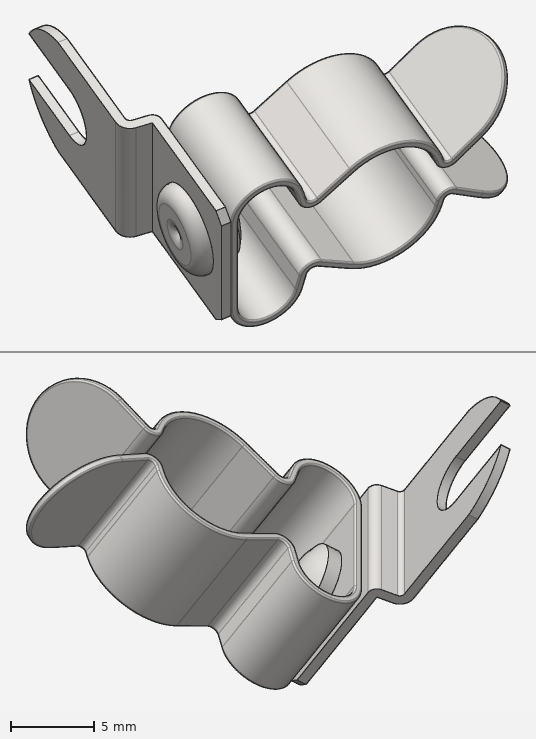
import cadquery as cq
import math


plate_thickness = 0.65
plate_height = 9.99
plate_offset = 1.9
web_lean = math.radians(7.3)
bend_inner_radius = 0.35
bend_center_x = -5.75
end_arc_center_x = -11.9
end_arc_radius = 5.1
slot_width = 4.2
slot_center_x = -11.48
corner_chamfer = 0.7

clip_width = 8.0
clip_height = 12.8
clip_length = 20.45
strip_thickness = 0.5
strip_edge_fillet = 0.11
tab_angle = math.radians(36.9)
base_lobe_radius = 2.5
grip_lobe_radius = 4.18
grip_lobe_center = (10.45, 1.1)
waist_bend_radius = 0.73
waist_center = (5.67, 3.54)
mouth_bend_radius = 0.6
mouth_center = (14.92, 1.88)

shank_radius = 2.5
shank_length = 1.45
dome_height = 0.87
head_radius = 2.98
head_height = 0.99
dimple_radius = 0.99

half_width = clip_width / 2
half_strip = strip_thickness / 2
half_plate = plate_height / 2


def polar(center, radius, angle):
    """Point at an angle and distance from a center."""
    return (center[0] + radius * math.cos(angle), center[1] + radius * math.sin(angle))


def bent_plate_section():
    """Bracket section in XY, swept through the two bends of the step."""
    bend_outer_radius = bend_inner_radius + plate_thickness
    lower_back = -plate_offset
    lower_front = lower_back - plate_thickness
    upper_front = -plate_thickness
    bend_center = (bend_center_x, lower_back + bend_inner_radius)
    bend_middle = -math.pi / 4

    front_web = polar(bend_center, bend_outer_radius, -web_lean)
    back_web = polar(bend_center, bend_inner_radius, -web_lean)
    corner_x = front_web[0] + (upper_front - front_web[1]) * math.tan(web_lean)
    corner = (corner_x, upper_front)
    corner_start = polar(corner, plate_thickness, math.pi - web_lean)
    corner_middle = polar(corner, plate_thickness, 3 * math.pi / 4)

    left = end_arc_center_x - end_arc_radius
    return (
        cq.Workplane("XY")
        .moveTo(left, lower_front)
        .lineTo(bend_center_x, lower_front)
        .threePointArc(polar(bend_center, bend_outer_radius, bend_middle), front_web)
        .lineTo(*corner)
        .lineTo(half_width, upper_front)
        .lineTo(half_width, 0)
        .lineTo(corner_x, 0)
        .threePointArc(corner_middle, corner_start)
        .lineTo(*back_web)
        .threePointArc(polar(bend_center, bend_inner_radius, bend_middle), (bend_center_x, lower_back))
        .lineTo(left, lower_back)
        .close()
    )


def plate_outline():
    """Bracket outline in XZ with its rounded, slotted end and two clipped corners."""
    half_slot = slot_width / 2
    shoulder_x = end_arc_center_x - math.sqrt(end_arc_radius**2 - half_plate**2)
    tip_x = end_arc_center_x - math.sqrt(end_arc_radius**2 - half_slot**2)
    arc_center = (end_arc_center_x, 0)
    middle_angle = (math.asin(half_plate / end_arc_radius) + math.asin(half_slot / end_arc_radius)) / 2
    upper_middle = polar(arc_center, end_arc_radius, math.pi - middle_angle)
    lower_middle = polar(arc_center, end_arc_radius, math.pi + middle_angle)
    return (
        cq.Workplane("XZ")
        .moveTo(shoulder_x, half_plate)
        .threePointArc(upper_middle, (tip_x, half_slot))
        .lineTo(slot_center_x, half_slot)
        .threePointArc((slot_center_x + half_slot, 0), (slot_center_x, -half_slot))
        .lineTo(tip_x, -half_slot)
        .threePointArc(lower_middle, (shoulder_x, -half_plate))
        .lineTo(half_width - corner_chamfer, -half_plate)
        .lineTo(half_width, corner_chamfer - half_plate)
        .lineTo(half_width, half_plate - corner_chamfer)
        .lineTo(half_width - corner_chamfer, half_plate)
        .close()
    )


def rivet_hole():
    """Cutter for the rivet hole through the bracket and the clip."""
    reach = plate_thickness + strip_thickness
    return cq.Workplane("XZ").circle(shank_radius).extrude(reach, both=True)


def make_bracket():
    depth = plate_offset + plate_thickness
    bent_strip = bent_plate_section().extrude(half_plate, both=True)
    blank = plate_outline().extrude(depth)
    return bent_strip.intersect(blank).cut(rivet_hole())


def tangent_heading(start, end):
    """Heading of the straight run that leaves one bend and enters the next.

    A bend is (center, middle radius, turn), where turn is +1 for
    counter-clockwise and -1 for clockwise.
    """
    start_center, start_radius, start_turn = start
    end_center, end_radius, end_turn = end
    dy = end_center[0] - start_center[0]
    dz = end_center[1] - start_center[1]
    sideways = end_turn * end_radius - start_turn * start_radius
    return math.atan2(dz, dy) - math.asin(sideways / math.hypot(dy, dz))


def clip_bends():
    """Bends of the upper half of the clip in YZ, from the base to the tab."""
    base_radius = base_lobe_radius - half_strip
    grip_radius = grip_lobe_radius - half_strip
    base_center = (base_lobe_radius, clip_height / 2 - base_lobe_radius)
    return [
        (base_center, base_radius, -1),
        (waist_center, waist_bend_radius, 1),
        (grip_lobe_center, grip_radius, -1),
        (mouth_center, mouth_bend_radius, 1),
    ]


def clip_edge(side):
    """Arcs of one face of the strip as (start, middle, end), and the tab's end point.

    Side is +1 for the face left of the run from base to tab, -1 for the other.
    """
    bends = clip_bends()
    headings = [math.pi / 2]
    headings += [tangent_heading(start, end) for start, end in zip(bends, bends[1:])]
    headings.append(tab_angle)
    arcs = []
    for (center, radius, turn), heading_in, heading_out in zip(bends, headings, headings[1:]):
        face_radius = radius - turn * side * half_strip
        middle = (heading_in + heading_out) / 2
        angles = [heading - turn * math.pi / 2 for heading in (heading_in, middle, heading_out)]
        arcs.append([polar(center, face_radius, angle) for angle in angles])
    end_y = clip_length - (1 + side) * half_strip * math.sin(tab_angle)
    last = arcs[-1][-1]
    tab_end = (end_y, last[1] + (end_y - last[0]) * math.tan(tab_angle))
    return arcs, tab_end


def mirrored(point):
    return (point[0], -point[1])


def clip_profile():
    """Closed outline of the whole clip in YZ."""
    outer_arcs, outer_end = clip_edge(1)
    inner_arcs, inner_end = clip_edge(-1)
    profile = cq.Workplane("YZ").moveTo(0, 0)
    for start, middle, end in outer_arcs:
        profile = profile.lineTo(*start).threePointArc(middle, end)
    profile = profile.lineTo(*outer_end).lineTo(*inner_end)
    for start, middle, end in reversed(inner_arcs):
        profile = profile.lineTo(*end).threePointArc(middle, start)
    for start, middle, end in inner_arcs:
        profile = profile.lineTo(*mirrored(start)).threePointArc(mirrored(middle), mirrored(end))
    profile = profile.lineTo(*mirrored(inner_end)).lineTo(*mirrored(outer_end))
    for start, middle, end in reversed(outer_arcs):
        profile = profile.lineTo(*mirrored(end)).threePointArc(mirrored(middle), mirrored(start))
    return profile.close()


def tab_tip_cutter():
    """Cutter that rounds the end of the upper tab, square to the tab's faces."""
    _, outer_end = clip_edge(1)
    arc_center = polar(outer_end, -half_width, tab_angle)
    square = (0, -math.sin(tab_angle), math.cos(tab_angle))
    tab_plane = cq.Plane(origin=(0, *arc_center), xDir=(1, 0, 0), normal=square)
    reach = 2 * strip_thickness
    tab_end = (
        cq.Workplane(tab_plane)
        .center(0, half_width)
        .rect(clip_width, 2 * half_width)
        .extrude(reach, both=True)
    )
    rounded_end = cq.Workplane(tab_plane).circle(half_width).extrude(reach, both=True)
    return tab_end.cut(rounded_end)


def make_clip():
    clip = clip_profile().extrude(half_width, both=True)
    upper_cutter = tab_tip_cutter()
    clip = clip.cut(upper_cutter).cut(upper_cutter.mirror("XY"))
    clip = clip.faces("<X or >X").edges().fillet(strip_edge_fillet)
    return clip.cut(rivet_hole())


def make_rivet():
    """Rivet revolved about Y: dimpled round head, shank and shallow dome."""
    front = -plate_thickness
    head_face = front - head_height
    rounding_center = (head_radius - head_height, front)
    rounding_middle = polar(rounding_center, head_height, -math.pi / 4)
    dimple_bottom = head_face + dimple_radius
    dimple_middle = polar((dimple_radius, dimple_bottom), dimple_radius, -3 * math.pi / 4)
    dome_radius = (shank_radius**2 + dome_height**2) / (2 * dome_height)
    dome_top = shank_length + dome_height
    dome_half_angle = math.asin(shank_radius / dome_radius) / 2
    dome_middle = polar((0, dome_top - dome_radius), dome_radius, math.pi / 2 - dome_half_angle)
    section = (
        cq.Workplane("XY")
        .moveTo(0, dimple_bottom)
        .threePointArc(dimple_middle, (dimple_radius, head_face))
        .lineTo(head_radius - head_height, head_face)
        .threePointArc(rounding_middle, (head_radius, front))
        .lineTo(shank_radius, front)
        .lineTo(shank_radius, shank_length)
        .threePointArc(dome_middle, (0, dome_top))
        .close()
    )
    return section.revolve(360, (0, 0, 0), (0, 1, 0))


bracket = make_bracket()
clip = make_clip()
rivet = make_rivet()

result = cq.Compound.makeCompound([bracket.val(), clip.val(), rivet.val()])